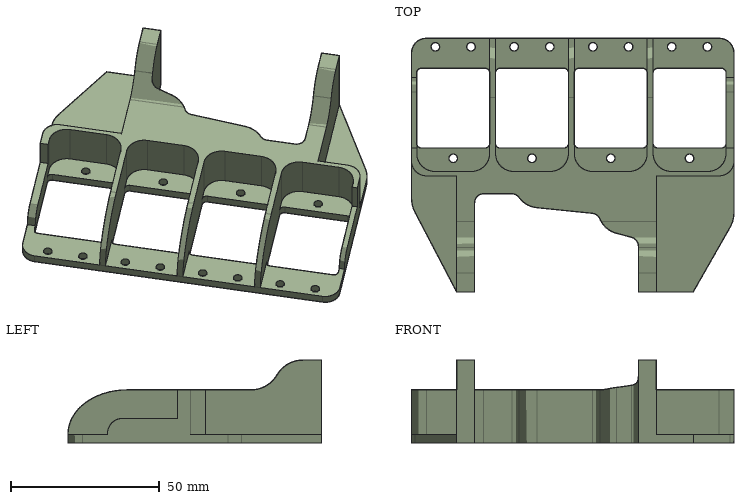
import cadquery as cq
import math


BAY_COUNT = 4
BAY_WIDTH = 24.5
FIN_THICKNESS = 2.0
LEFT_WALL_THICKNESS = 1.8
BAY_PITCH = BAY_WIDTH + FIN_THICKNESS
BAY_FRONT_BACK = 44.8
BAY_CORNER_RADIUS = 6.0

WIDTH = 108.53
LENGTH = 85.38
RIGHT_WALL_THICKNESS = WIDTH - LEFT_WALL_THICKNESS - BAY_COUNT * BAY_PITCH + FIN_THICKNESS
PLATE_HEIGHT = 3.0
BODY_HEIGHT = 18.0
ARM_HEIGHT = 28.0

WINDOW_REAR_BACK = 10.15
WINDOW_FRONT_BACK = 36.9
WINDOW_CORNER_RADIUS = 1.5

HOLE_DIAMETER = 2.8
HOLE_PAIR_SPACING = 12.0
HOLE_PAIR_BACK = 2.9
FRONT_HOLE_BACK = 40.4

BODY_FRONT_BACK = 46.3
BODY_CORNER_RADIUS = 5.0
FIN_CURVE_LENGTH = 20.0

LEDGE_HEIGHT = 8.3
LEDGE_REAR_BACK = 13.3
LEDGE_CURVE_LENGTH = 4.75

ARM_THICKNESS = 6.1
ARM_GAP = 55.0
LEFT_ARM_X = 15.2
LEFT_ARM_INNER_X = LEFT_ARM_X + ARM_THICKNESS
RIGHT_ARM_INNER_X = LEFT_ARM_INNER_X + ARM_GAP
RIGHT_ARM_X = RIGHT_ARM_INNER_X + ARM_THICKNESS
ARM_TOP_LENGTH = 6.38
ARM_CURVE_RADIUS = 10.0

LEFT_TAPER_BACK = 56.3
RIGHT_TAPER_BACK = 61.3
RIGHT_TAPER_FOOT_X = 94.8
TAPER_RADIUS = 10.0
PLATE_CORNER_RADIUS = 5.0

GAP_REAR_BACK = 52.35
FIRST_STEP_X = 35.28
FIRST_STEP_ANGLE = 54.0
FIRST_SLOPE_ANGLE = 5.8
SECOND_STEP_X = 62.67
SECOND_STEP_ANGLE = 67.0
SECOND_SLOPE_ANGLE = 15.0
GAP_TIGHT_RADIUS = 3.0
GAP_WIDE_RADIUS = 8.5

MIN_EDGE = 0.001


def rounded_outline(corners, base_height=0.0):
    """Closed outline from (x, y, radius) corners, each rounded by a tangent arc."""
    outline = None
    for index, (x, y, radius) in enumerate(corners):
        corner = cq.Vector(x, y)
        previous = corners[index - 1]
        following = corners[(index + 1) % len(corners)]
        to_previous = (cq.Vector(*previous[:2]) - corner).normalized()
        to_following = (cq.Vector(*following[:2]) - corner).normalized()
        half_angle = to_previous.getAngle(to_following) / 2
        setback = radius / math.tan(half_angle)
        start = corner + to_previous * setback
        if outline is None:
            outline = cq.Workplane("XY", origin=(0, 0, base_height)).moveTo(start.x, start.y)
        elif (start - pen).Length > MIN_EDGE:
            outline = outline.lineTo(start.x, start.y)
        pen = start
        if radius > 0:
            inward = (to_previous + to_following).normalized()
            middle = corner + inward * (radius / math.sin(half_angle) - radius)
            pen = corner + to_following * setback
            outline = outline.threePointArc((middle.x, middle.y), (pen.x, pen.y))
    return outline.close()


def drop(run, angle):
    """Forward distance gained along X run on a slope at the given angle."""
    return run * math.tan(math.radians(angle))


def step_run(angle_before, angle, angle_after):
    """X run of a steep step whose tight and wide corner arcs meet with no straight between."""
    tight_setback = GAP_TIGHT_RADIUS * math.tan(math.radians(angle - angle_before) / 2)
    wide_setback = GAP_WIDE_RADIUS * math.tan(math.radians(angle - angle_after) / 2)
    return (tight_setback + wide_setback) * math.cos(math.radians(angle))


def gap_corners():
    """Corners of the space between the arms' inner faces, from left front to right front."""
    first_step_run = step_run(0, FIRST_STEP_ANGLE, FIRST_SLOPE_ANGLE)
    second_step_run = step_run(FIRST_SLOPE_ANGLE, SECOND_STEP_ANGLE, SECOND_SLOPE_ANGLE)
    first_slope_x = FIRST_STEP_X + first_step_run
    first_slope_back = GAP_REAR_BACK + drop(first_step_run, FIRST_STEP_ANGLE)
    second_step_back = first_slope_back + drop(SECOND_STEP_X - first_slope_x, FIRST_SLOPE_ANGLE)
    second_slope_x = SECOND_STEP_X + second_step_run
    second_slope_back = second_step_back + drop(second_step_run, SECOND_STEP_ANGLE)
    gap_end_back = second_slope_back + drop(RIGHT_ARM_INNER_X - second_slope_x, SECOND_SLOPE_ANGLE)
    return [
        (LEFT_ARM_INNER_X, -LENGTH, 0),
        (LEFT_ARM_INNER_X, -GAP_REAR_BACK, GAP_TIGHT_RADIUS),
        (FIRST_STEP_X, -GAP_REAR_BACK, GAP_TIGHT_RADIUS),
        (first_slope_x, -first_slope_back, GAP_WIDE_RADIUS),
        (SECOND_STEP_X, -second_step_back, GAP_TIGHT_RADIUS),
        (second_slope_x, -second_slope_back, GAP_WIDE_RADIUS),
        (RIGHT_ARM_INNER_X, -gap_end_back, GAP_TIGHT_RADIUS),
        (RIGHT_ARM_INNER_X, -LENGTH, 0),
    ]


def make_plate():
    corners = [
        (0, 0, PLATE_CORNER_RADIUS),
        (0, -LEFT_TAPER_BACK, TAPER_RADIUS),
        (LEFT_ARM_X, -LENGTH, 0),
        *gap_corners(),
        (RIGHT_TAPER_FOOT_X, -LENGTH, 0),
        (WIDTH, -RIGHT_TAPER_BACK, TAPER_RADIUS),
        (WIDTH, 0, PLATE_CORNER_RADIUS),
    ]
    return rounded_outline(corners).extrude(PLATE_HEIGHT)


def make_side_profile():
    """Full-width prism whose outline is the body and arms seen along X."""
    arm_top_y = ARM_TOP_LENGTH - LENGTH
    half_rise = (ARM_HEIGHT - BODY_HEIGHT) / 2
    half_run = math.sqrt(ARM_CURVE_RADIUS**2 - (ARM_CURVE_RADIUS - half_rise) ** 2)
    middle = (arm_top_y + half_run, BODY_HEIGHT + half_rise)
    body_top_y = arm_top_y + 2 * half_run
    return (
        cq.Workplane("YZ")
        .moveTo(-LENGTH, 0)
        .lineTo(-LENGTH, ARM_HEIGHT)
        .lineTo(arm_top_y, ARM_HEIGHT)
        .tangentArcPoint(middle, relative=False)
        .tangentArcPoint((body_top_y, BODY_HEIGHT), relative=False)
        .lineTo(-FIN_CURVE_LENGTH, BODY_HEIGHT)
        .ellipseArc(
            FIN_CURVE_LENGTH,
            BODY_HEIGHT - PLATE_HEIGHT,
            angle1=0,
            angle2=90,
            sense=-1,
            startAtCurrent=True,
        )
        .lineTo(0, 0)
        .close()
        .extrude(WIDTH)
    )


def make_body():
    """Raised body, bay fins and arms, before the bays are cut."""
    corners = [
        (0, 0, 0),
        (0, -BODY_FRONT_BACK, BODY_CORNER_RADIUS),
        (LEFT_ARM_X, -BODY_FRONT_BACK, 0),
        (LEFT_ARM_X, -LENGTH, 0),
        *gap_corners(),
        (RIGHT_ARM_X, -LENGTH, 0),
        (RIGHT_ARM_X, -BODY_FRONT_BACK, 0),
        (WIDTH, -BODY_FRONT_BACK, BODY_CORNER_RADIUS),
        (WIDTH, 0, 0),
    ]
    footprint = rounded_outline(corners, PLATE_HEIGHT).extrude(ARM_HEIGHT - PLATE_HEIGHT)
    return footprint.intersect(make_side_profile())


def wall_relief(x, thickness):
    """Material removed from an outer wall to leave the low ledge beside its window."""
    above = BODY_HEIGHT - PLATE_HEIGHT
    block = (
        cq.Workplane("XY", origin=(x, 0, PLATE_HEIGHT))
        .rect(thickness, -WINDOW_FRONT_BACK, centered=False)
        .extrude(above)
    )
    ledge = (
        cq.Workplane("YZ", origin=(x, 0, 0))
        .moveTo(-WINDOW_FRONT_BACK, PLATE_HEIGHT)
        .lineTo(-WINDOW_FRONT_BACK, LEDGE_HEIGHT)
        .lineTo(-LEDGE_REAR_BACK - LEDGE_CURVE_LENGTH, LEDGE_HEIGHT)
        .ellipseArc(
            LEDGE_CURVE_LENGTH,
            LEDGE_HEIGHT - PLATE_HEIGHT,
            angle1=0,
            angle2=90,
            sense=-1,
            startAtCurrent=True,
        )
        .close()
        .extrude(thickness)
    )
    return block.cut(ledge)


def bay_pocket(x):
    corners = [
        (x, 0, 0),
        (x, -BAY_FRONT_BACK, BAY_CORNER_RADIUS),
        (x + BAY_WIDTH, -BAY_FRONT_BACK, BAY_CORNER_RADIUS),
        (x + BAY_WIDTH, 0, 0),
    ]
    return rounded_outline(corners, PLATE_HEIGHT).extrude(BODY_HEIGHT - PLATE_HEIGHT)


def bay_floor_openings(x):
    """Window and three screw holes through the floor of the bay starting at x."""
    center_x = x + BAY_WIDTH / 2
    window = (
        cq.Workplane("XY")
        .center(center_x, -(WINDOW_REAR_BACK + WINDOW_FRONT_BACK) / 2)
        .rect(BAY_WIDTH, WINDOW_FRONT_BACK - WINDOW_REAR_BACK)
        .extrude(PLATE_HEIGHT)
        .edges("|Z")
        .fillet(WINDOW_CORNER_RADIUS)
    )
    hole_centers = [
        (center_x - HOLE_PAIR_SPACING / 2, -HOLE_PAIR_BACK),
        (center_x + HOLE_PAIR_SPACING / 2, -HOLE_PAIR_BACK),
        (center_x, -FRONT_HOLE_BACK),
    ]
    holes = cq.Workplane("XY").pushPoints(hole_centers).circle(HOLE_DIAMETER / 2).extrude(PLATE_HEIGHT)
    return window.union(holes)


body = make_body()
body = body.cut(wall_relief(0, LEFT_WALL_THICKNESS))
body = body.cut(wall_relief(WIDTH - RIGHT_WALL_THICKNESS, RIGHT_WALL_THICKNESS))

result = make_plate().union(body)
for bay in range(BAY_COUNT):
    bay_x = LEFT_WALL_THICKNESS + bay * BAY_PITCH
    result = result.cut(bay_pocket(bay_x)).cut(bay_floor_openings(bay_x))